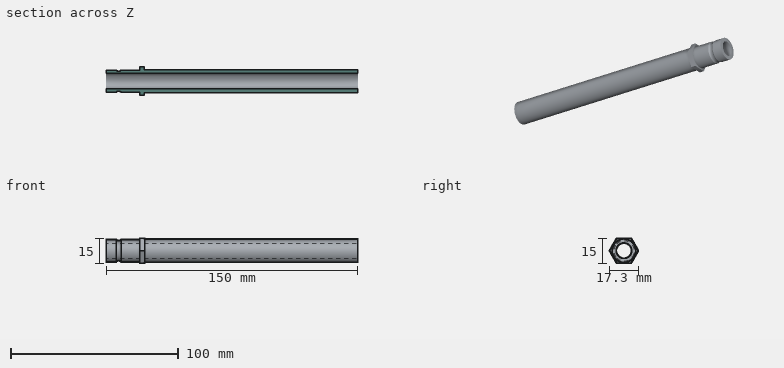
import cadquery as cq
import math

total_length = 150.0
body_diameter = 14.0
neck_diameter = 13.5
bore_diameter = 9.0

hex_sides = 6
collar_start = 20.0
collar_width = 3.0
collar_across_flats = 15.0

groove_start = 6.0
groove_width = 3.0
groove_radius = 2.0


def rod(diameter, start, end):
    """Solid round bar along X between two stations."""
    return cq.Workplane("YZ", origin=(start, 0, 0)).circle(diameter / 2).extrude(end - start)


def hex_collar():
    """Hexagonal collar with flats facing +Z and -Z and corners on the Y axis."""
    half_side_angle = 180 / hex_sides
    return (
        cq.Workplane("YZ", origin=(collar_start, 0, 0))
        .polygon(hex_sides, collar_across_flats, circumscribed=True)
        .extrude(collar_width)
        .rotate((0, 0, 0), (1, 0, 0), half_side_angle)
    )


def groove_ring():
    """Torus whose section meets the neck surface at both edges of the groove."""
    half_width = groove_width / 2
    center_height = math.sqrt(groove_radius**2 - half_width**2)
    ring_radius = neck_diameter / 2 + center_height
    return (
        cq.Workplane("XY")
        .center(groove_start + half_width, ring_radius)
        .circle(groove_radius)
        .revolve(360, (0, -ring_radius, 0), (1, -ring_radius, 0))
    )


neck = rod(neck_diameter, 0, collar_start).cut(groove_ring())
body = rod(body_diameter, collar_start, total_length)
bore = rod(bore_diameter, 0, total_length)

result = neck.union(body).union(hex_collar()).cut(bore)